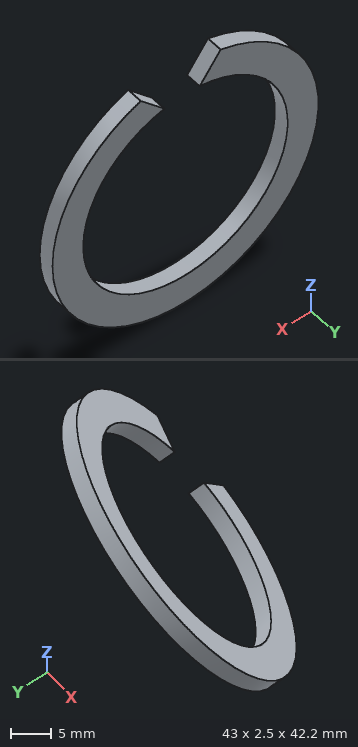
import cadquery as cq
import math

outer_radius = 21.5
inner_radius = 16.5
thickness = 2.5

left_outer_x = -5.68
left_inner_x = -2.3
right_outer_x = 7.23
right_inner_x = 3.35


def upper_point(radius, x):
    """Point on the upper half of a circle at the given X."""
    return (x, math.sqrt(radius**2 - x**2))


profile = (
    cq.Workplane("XZ")
    .moveTo(*upper_point(outer_radius, left_outer_x))
    .threePointArc((0, -outer_radius), upper_point(outer_radius, right_outer_x))
    .lineTo(*upper_point(inner_radius, right_inner_x))
    .threePointArc((0, -inner_radius), upper_point(inner_radius, left_inner_x))
    .close()
)

result = profile.extrude(thickness / 2, both=True)